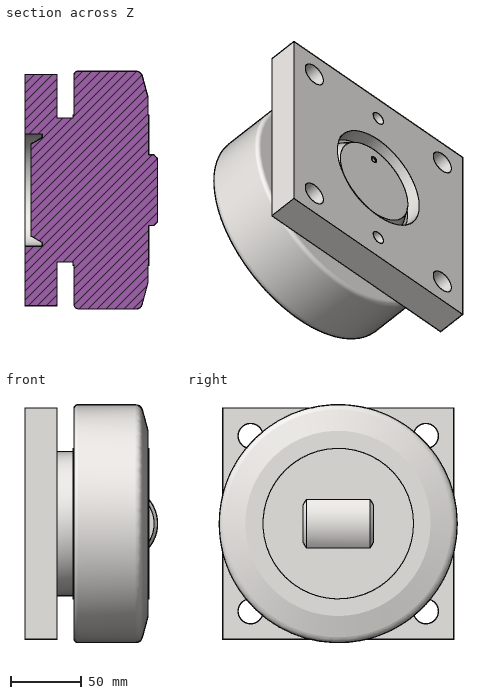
import cadquery as cq
import math

plate_side = 165.0
plate_thickness = 23.1
bolt_offset = 62.5
bolt_hole_dia = 17.7
dowel_hole_dia = 10.0

bore_dia = 80.0
pin_dia = 75.1
pin_tip_dia = 66.0
pin_recess = 4.5
pin_taper_angle = 30.0
pin_taper_length = (pin_dia - pin_tip_dia) / 2 / math.tan(math.radians(pin_taper_angle))
bore_depth = pin_recess + pin_taper_length
grease_hole_dia = 3.7
grease_hole_chamfer = 0.7
grease_hole_offset = 23.0
grease_hole_depth = 5.1

neck_radius = 51.5
hub_radius = 53.7
hub_start = 34.3
hub_end = 88.5
rim_start = 35.0
rim_radius = 85.0
inner_rounding = 3.0
cone_angle = 15.0
outer_rounding = 5.1
face_x = 88.0
face_radius = 66.1

overall_length = 94.8
side_roller_radius = 26.9
side_roller_length = 50.6
side_roller_chamfer = 2.5


def x_disc(radius, start, end):
    """Solid disc about the X axis between two X positions."""
    return cq.Workplane("YZ", origin=(start, 0, 0)).circle(radius).extrude(end - start)


def make_plate():
    """Square plate with corner bolt holes, two dowel holes and a blind bore."""
    plate = cq.Workplane("YZ").rect(plate_side, plate_side).extrude(plate_thickness)
    bolts = (
        cq.Workplane("YZ")
        .rect(2 * bolt_offset, 2 * bolt_offset, forConstruction=True)
        .vertices()
        .circle(bolt_hole_dia / 2)
        .extrude(plate_thickness)
    )
    dowels = (
        cq.Workplane("YZ")
        .pushPoints([(0, bolt_offset), (0, -bolt_offset)])
        .circle(dowel_hole_dia / 2)
        .extrude(plate_thickness)
    )
    bore = x_disc(bore_dia / 2, 0, bore_depth)
    return plate.cut(bolts).cut(dowels).cut(bore)


def make_pin_end():
    """Conical pin end rising from the bore floor."""
    return (
        cq.Workplane("XY")
        .moveTo(pin_recess, 0)
        .lineTo(pin_recess, pin_tip_dia / 2)
        .lineTo(bore_depth, pin_dia / 2)
        .lineTo(plate_thickness, pin_dia / 2)
        .lineTo(plate_thickness, 0)
        .close()
        .revolve(360, (0, 0, 0), (1, 0, 0))
    )


def make_grease_hole():
    """Blind off-centre hole in the pin tip, with a countersunk mouth."""
    hole = (
        cq.Workplane("YZ", origin=(pin_recess, 0, grease_hole_offset))
        .circle(grease_hole_dia / 2)
        .extrude(grease_hole_depth)
    )
    mouth = (
        cq.Workplane("YZ", origin=(pin_recess, 0, grease_hole_offset))
        .circle(grease_hole_dia / 2 + grease_hole_chamfer)
        .extrude(grease_hole_chamfer, taper=45)
    )
    return hole.union(mouth)


def round_circle_at(body, x, radius):
    """Fillet the circular edge centred on the X axis at the given position."""
    return body.edges(cq.selectors.NearestToPointSelector((x, 0, 0))).fillet(radius)


def make_main_roller():
    """Neck, hub and the rounded rim with its shallow cone toward the end face."""
    neck = x_disc(neck_radius, plate_thickness, hub_end)
    hub = x_disc(hub_radius, hub_start, hub_end)
    cone_start = face_x - (rim_radius - face_radius) * math.tan(math.radians(cone_angle))
    rim = (
        cq.Workplane("XY")
        .moveTo(rim_start, 0)
        .lineTo(rim_start, rim_radius)
        .lineTo(cone_start, rim_radius)
        .lineTo(face_x, face_radius)
        .lineTo(face_x, 0)
        .close()
        .revolve(360, (0, 0, 0), (1, 0, 0))
    )
    rim = round_circle_at(rim, rim_start, inner_rounding)
    rim = round_circle_at(rim, cone_start, outer_rounding)
    return neck.union(hub).union(rim)


def make_side_roller():
    """Chamfered roller whose side stands proud of the end face."""
    axis_x = overall_length - side_roller_radius
    return (
        cq.Workplane("XZ", origin=(axis_x, 0, 0))
        .circle(side_roller_radius)
        .extrude(side_roller_length / 2, both=True)
        .edges("%CIRCLE")
        .chamfer(side_roller_chamfer)
    )


result = (
    make_plate()
    .union(make_pin_end())
    .union(make_main_roller())
    .union(make_side_roller())
    .cut(make_grease_hole())
)